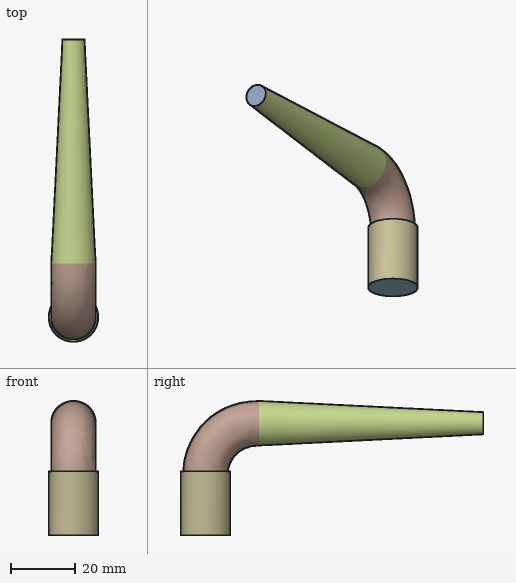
import cadquery as cq

overall_length = 94.53
overall_height = 42.04

socket_diameter = 15.5
socket_height = 20.0

arm_diameter = 14.0
tip_diameter = 7.0
taper_length = 70.0

bend_end_y = overall_length - socket_diameter / 2 - taper_length
bend_end_z = overall_height - arm_diameter / 2

start_pull = 4.95
end_pull = 12.3


def make_socket():
    return cq.Workplane("XY").circle(socket_diameter / 2).extrude(socket_height)


def make_bend():
    """Constant round section swept along a cubic Bezier curve, vertical at first and level at last."""
    control_points = [
        cq.Vector(0, 0, socket_height),
        cq.Vector(0, 0, socket_height + start_pull),
        cq.Vector(0, bend_end_y - end_pull, bend_end_z),
        cq.Vector(0, bend_end_y, bend_end_z),
    ]
    center_line = cq.Edge.makeBezier(control_points)
    section = cq.Workplane("XY").workplane(offset=socket_height).circle(arm_diameter / 2)
    return section.sweep(cq.Workplane(cq.Wire.assembleEdges([center_line])))


def make_taper():
    """Cone that runs level along +Y from the end of the bend to the tip."""
    base_center = cq.Vector(0, bend_end_y, bend_end_z)
    cone = cq.Solid.makeCone(
        arm_diameter / 2, tip_diameter / 2, taper_length, base_center, cq.Vector(0, 1, 0)
    )
    return cq.Workplane(cone)


def make_lever():
    return make_bend().union(make_taper())


socket = make_socket()
lever = make_lever()

result = cq.Compound.makeCompound([socket.val(), *lever.solids().vals()])